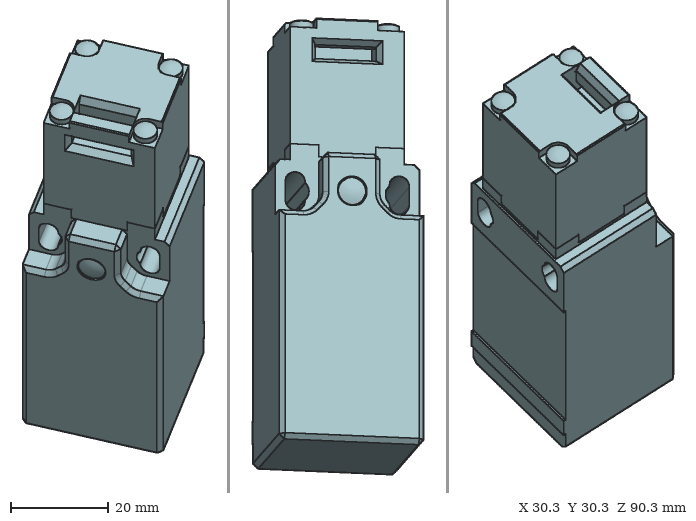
import cadquery as cq
import math

height = 90.3
width = 30.3
depth = 30.3
edge_chamfer = 1.1

head_side = 24.0
split_z = 63.5
tongue_z = 60.95
shoulder_z = 60.1
ledge_z = 48.4
post_side = head_side / 4
boss_half = head_side / 4
boss_root_bevel = 3.0
boss_root_radius = 3.0
pad_thickness = 0.5
upper_pad_bottom = 46.0
lower_pad_bottom = 5.2
lower_pad_top = 10.0

mount_z = 53.55
slot_x = 10.9
slot_radius = 2.1
slot_length = 8.0
round_hole_x = 10.5
round_hole_radius = 2.4

button_z = 52.8
button_radius = 2.9
button_recess_radius = 3.1
button_recess_depth = 1.35
button_crown = 0.6
button_proud = 0.4
front_y = -(depth - pad_thickness - button_proud)

rim_chamfer = 0.3
screw_inset = 3.0
screw_radius = 2.4
screw_crown = 0.6
screw_pocket_radius = 2.6
screw_pocket_depth = 2.1

key_half_width = 6.4
key_floor_z = 82.1
key_roof_z = 85.1
key_front_y = -20.2
key_back_y = -17.25
key_bevel = 1.0
key_bevel_angle = 30.0
key_bevel_depth = key_bevel / math.tan(math.radians(key_bevel_angle))


def block(x_range, y_range, z_range):
    """Box between the given limits."""
    (x0, x1), (y0, y1), (z0, z1) = x_range, y_range, z_range
    return cq.Workplane("XY").box(x1 - x0, y1 - y0, z1 - z0, centered=False).translate((x0, y0, z0))


def centred_block(half_width, y_range, z_range):
    """Box that is symmetric about X = 0."""
    return block((-half_width, half_width), y_range, z_range)


def domed_stud(radius, total_height, crown):
    """Round stud standing on Z = 0, with a spherical crown on top."""
    sphere_radius = (radius**2 + crown**2) / (2 * crown)
    middle_radius = radius / 2
    middle_z = total_height - sphere_radius + math.sqrt(sphere_radius**2 - middle_radius**2)
    return (
        cq.Workplane("XZ")
        .lineTo(radius, 0)
        .lineTo(radius, total_height - crown)
        .threePointArc((middle_radius, middle_z), (0, total_height))
        .close()
        .revolve(360, (0, 0, 0), (0, 1, 0))
    )


def make_rear_case():
    """Case behind the boss, with the two thin pads on its rear face."""
    half_width = width / 2
    case = centred_block(half_width, (-head_side, 0), (0, shoulder_z)).edges("|Y").chamfer(edge_chamfer)
    upper_pad = centred_block(half_width, (0, pad_thickness), (upper_pad_bottom, shoulder_z))
    upper_pad = upper_pad.edges("|Y and >Z").chamfer(edge_chamfer)
    lower_pad = centred_block(half_width, (0, pad_thickness), (lower_pad_bottom, lower_pad_top))
    return case.union(upper_pad).union(lower_pad)


def make_front_cover():
    """Front slab whose top steps up to the central boss, bevelled round its front face."""
    slab = centred_block(width / 2, (front_y, -head_side), (0, ledge_z))
    root = boss_half + boss_root_bevel
    boss = (
        cq.Workplane("XZ", origin=(0, -head_side, 0))
        .moveTo(-root, ledge_z)
        .lineTo(-boss_half, ledge_z + boss_root_bevel)
        .lineTo(-boss_half, tongue_z)
        .lineTo(boss_half, tongue_z)
        .lineTo(boss_half, ledge_z + boss_root_bevel)
        .lineTo(root, ledge_z)
        .close()
        .extrude(-head_side - front_y)
    )
    cover = slab.union(boss)
    bevel_ends = cq.selectors.BoxSelector(
        (-root - edge_chamfer, front_y, ledge_z - edge_chamfer),
        (root + edge_chamfer, -head_side, tongue_z - edge_chamfer),
    )
    cover = cover.edges("|Y").edges(bevel_ends).fillet(boss_root_radius)
    corner_edges = cover.edges("|Y and >Z").vals() + cover.edges("|Y and <Z").vals()
    front_edges = cover.faces("<Y").edges().vals()
    return cover.newObject(corner_edges + front_edges).chamfer(edge_chamfer)


def make_corner_posts():
    """Four posts that stand on the shoulder under the corners of the head."""
    column = centred_block(head_side / 2, (-head_side, 0), (tongue_z, split_z))
    plinth = centred_block(head_side / 2, (-head_side, 0), (shoulder_z, tongue_z))
    return plinth.union(column.cut(make_tongue()))


def make_tongue():
    """Cross-shaped tongue under the head that fills the gaps between the posts."""
    inner_half = head_side / 2 - post_side
    middle_y = -head_side / 2
    bar_z = (tongue_z, split_z)
    along_x = centred_block(head_side / 2, (middle_y - inner_half, middle_y + inner_half), bar_z)
    along_y = centred_block(inner_half, (-head_side, 0), bar_z)
    return along_x.union(along_y)


def make_mounting_hole(side):
    """Cutter for the mounting hole on one side (-1 or 1), through the full depth."""
    plane = cq.Workplane("XZ", origin=(0, pad_thickness, mount_z))
    through = pad_thickness - front_y
    slot = plane.center(side * slot_x, 0).slot2D(slot_length, 2 * slot_radius, 90).extrude(through)
    return slot.union(plane.center(side * round_hole_x, 0).circle(round_hole_radius).extrude(through))


def make_housing():
    housing = make_rear_case().union(make_front_cover()).union(make_corner_posts())
    for side in (-1, 1):
        housing = housing.cut(make_mounting_hole(side))
    recess_floor_y = front_y + button_recess_depth
    recess = (
        cq.Workplane("XZ", origin=(0, recess_floor_y, button_z))
        .circle(button_recess_radius)
        .extrude(button_recess_depth)
    )
    button = domed_stud(button_radius, button_recess_depth + button_proud, button_crown)
    button = button.rotate((0, 0, 0), (1, 0, 0), 90).translate((0, recess_floor_y, button_z))
    return housing.cut(recess).union(button)


def make_key_slot():
    """Cutter for the key slot: bevelled front window, bevelled top opening and joined channel."""
    window_height = key_roof_z - key_floor_z
    front_channel = centred_block(key_half_width, (-head_side, key_back_y), (key_floor_z, key_roof_z))
    top_channel = centred_block(key_half_width, (key_front_y, key_back_y), (key_floor_z, height))
    window_bevel = (
        cq.Workplane("ZX", origin=(0, -head_side, (key_floor_z + key_roof_z) / 2))
        .rect(window_height + 2 * key_bevel, 2 * (key_half_width + key_bevel))
        .extrude(key_bevel_depth, taper=key_bevel_angle)
    )
    top_bevel = (
        cq.Workplane("YZ", origin=(-key_half_width, 0, 0))
        .moveTo(key_front_y - key_bevel, height)
        .lineTo(key_front_y, height - key_bevel_depth)
        .lineTo(key_back_y, height - key_bevel_depth)
        .lineTo(key_back_y + key_bevel, height)
        .close()
        .extrude(2 * key_half_width)
    )
    return front_channel.union(top_channel).union(window_bevel).union(top_bevel)


def make_screw_pocket():
    """Cutter for the front left screw pocket, open to both outer sides of the head."""
    size = screw_inset + screw_pocket_radius
    pocket_z = (height - screw_pocket_depth, height)
    corner = block((-head_side / 2, size - head_side / 2), (-head_side, size - head_side), pocket_z)
    return corner.edges("|Z and >X and >Y").fillet(screw_pocket_radius)


def make_head():
    head = centred_block(head_side / 2, (-head_side, 0), (split_z, height))
    head = head.faces(">Z").edges().chamfer(rim_chamfer)
    head = head.union(make_tongue()).cut(make_key_slot())
    stud = domed_stud(screw_radius, screw_pocket_depth, screw_crown).translate(
        (screw_inset - head_side / 2, screw_inset - head_side, height - screw_pocket_depth)
    )
    axis_start = (0, -head_side / 2, 0)
    axis_end = (0, -head_side / 2, 1)
    for quarter in range(4):
        head = head.cut(make_screw_pocket().rotate(axis_start, axis_end, 90 * quarter))
        head = head.union(stud.rotate(axis_start, axis_end, 90 * quarter))
    return head


housing = make_housing()
head = make_head()
result = cq.Compound.makeCompound([housing.solids().val(), head.solids().val()])